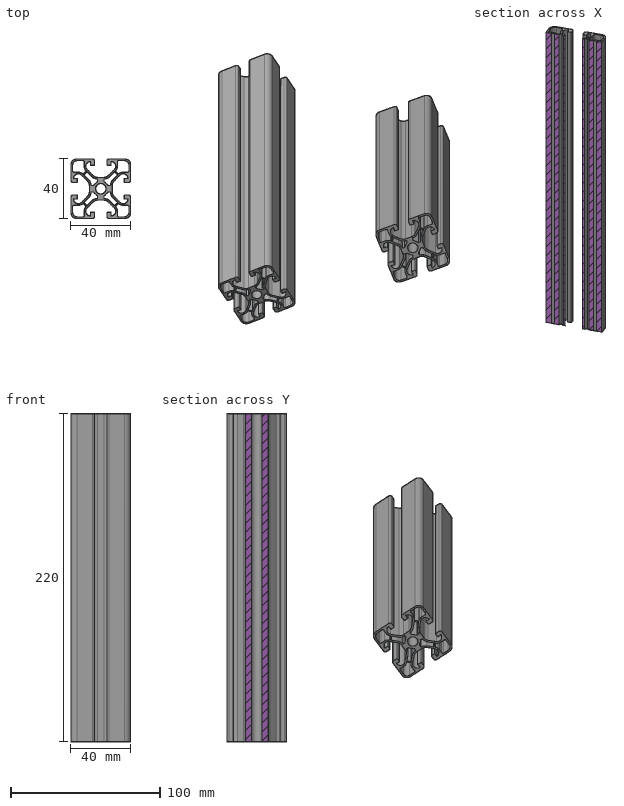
import cadquery as cq
import math

length = 220.0
side = 40.0
half_side = side / 2
corner_radius = 4.0
skin = 1.2
web = 1.2

mouth_width = 8.1
mouth_radius = 1.5
lip_tip_radius = 0.7
lip_depth = 4.5
lip_width = 2.9
lip_root_thickness = 1.87
pocket_radius = 3.0
floor_height = 7.7
floor_half_width = 2.2

bore_diameter = 6.8
chamber_fillet = 0.7
chamber_corner_radius = 3.0
core_end = 5.0
bridge_start = 14.5
bridge = 0.9

diagonal_component = math.sqrt(0.5)

flank_angle = 45.0
mouth_half_width = mouth_width / 2
pocket_x = mouth_half_width + lip_width
pocket_y = half_side - lip_root_thickness - pocket_radius
flank_offset = pocket_y - pocket_x - pocket_radius / diagonal_component
blend_tangent = floor_height - flank_offset - floor_half_width
blend_radius = blend_tangent / math.tan(math.radians(flank_angle / 2))
blend_y = floor_height + blend_radius


def polar(center_x, center_y, radius, degrees):
    """Point on a circle at an angle from +X."""
    angle = math.radians(degrees)
    return center_x + radius * math.cos(angle), center_y + radius * math.sin(angle)


def along_diagonal(distance, offset):
    """Point at a distance along the X = Y diagonal, offset to the +Y side of it."""
    return (distance - offset) * diagonal_component, (distance + offset) * diagonal_component


def mirrored(point):
    """Reflection across the X = Y diagonal."""
    return point[1], point[0]


def extrude(outline):
    """Close an outline and sweep it over the full length."""
    return outline.close().extrude(length)


def slot():
    """T-slot opening on the +Y side."""
    lip_end = half_side - lip_depth
    right = (
        cq.Workplane("XY")
        .moveTo(0, half_side)
        .lineTo(mouth_half_width + mouth_radius, half_side)
        .radiusArc((mouth_half_width, half_side - mouth_radius), -mouth_radius)
        .lineTo(mouth_half_width, lip_end + lip_tip_radius)
        .radiusArc((mouth_half_width + lip_tip_radius, lip_end), -lip_tip_radius)
        .lineTo(pocket_x, lip_end)
        .lineTo(pocket_x, pocket_y + pocket_radius)
        .threePointArc(
            polar(pocket_x, pocket_y, pocket_radius, flank_angle / 2),
            polar(pocket_x, pocket_y, pocket_radius, -flank_angle),
        )
        .lineTo(*polar(floor_half_width, blend_y, blend_radius, -flank_angle))
        .threePointArc(
            polar(floor_half_width, blend_y, blend_radius, -90 + flank_angle / 2),
            (floor_half_width, floor_height),
        )
        .lineTo(0, floor_height)
    )
    half = extrude(right)
    return half.union(half.mirror("YZ"))


def diagonal_chamber():
    """Hollow between two neighbouring slots, symmetric about the X = Y diagonal."""
    outer_radius = blend_radius + web
    blend_bottom = (floor_half_width, floor_height - web)
    blend_middle = polar(floor_half_width, blend_y, outer_radius, -90 + flank_angle / 2)
    blend_end = polar(floor_half_width, blend_y, outer_radius, -flank_angle)
    inner_corner = (floor_half_width, core_end / diagonal_component - floor_half_width)
    half_width = (blend_end[1] - blend_end[0]) * diagonal_component
    outer_corner = along_diagonal(bridge_start, half_width)
    return extrude(
        cq.Workplane("XY")
        .moveTo(*inner_corner)
        .lineTo(*blend_bottom)
        .threePointArc(blend_middle, blend_end)
        .lineTo(*outer_corner)
        .lineTo(*mirrored(outer_corner))
        .lineTo(*mirrored(blend_end))
        .threePointArc(mirrored(blend_middle), mirrored(blend_bottom))
        .lineTo(*mirrored(inner_corner))
    )


def corner_chamber():
    """Hollow in the +X +Y corner, symmetric about the X = Y diagonal."""
    wall = half_side - skin
    round_start = wall - chamber_corner_radius
    outer_radius = pocket_radius + web
    flank_x = pocket_x + outer_radius
    flank_middle = polar(pocket_x, pocket_y, outer_radius, -flank_angle / 2)
    flank_end = polar(pocket_x, pocket_y, outer_radius, -flank_angle)
    half_width = (flank_end[1] - flank_end[0]) * diagonal_component
    end_corner = along_diagonal(bridge_start + bridge, half_width)
    return extrude(
        cq.Workplane("XY")
        .moveTo(*end_corner)
        .lineTo(*flank_end)
        .threePointArc(flank_middle, (flank_x, pocket_y))
        .lineTo(flank_x, wall - chamber_fillet)
        .radiusArc((flank_x + chamber_fillet, wall), chamber_fillet)
        .lineTo(round_start, wall)
        .radiusArc((wall, round_start), chamber_corner_radius)
        .lineTo(wall, flank_x + chamber_fillet)
        .radiusArc((wall - chamber_fillet, flank_x), chamber_fillet)
        .lineTo(pocket_y, flank_x)
        .threePointArc(mirrored(flank_middle), mirrored(flank_end))
        .lineTo(*mirrored(end_corner))
    )


result = cq.Workplane("XY").rect(side, side).extrude(length).edges("|Z").fillet(corner_radius)
result = result.cut(cq.Workplane("XY").circle(bore_diameter / 2).extrude(length))
for cutter in (slot(), diagonal_chamber(), corner_chamber()):
    for quarter in range(4):
        result = result.cut(cutter.rotate((0, 0, 0), (0, 0, 1), 90 * quarter))